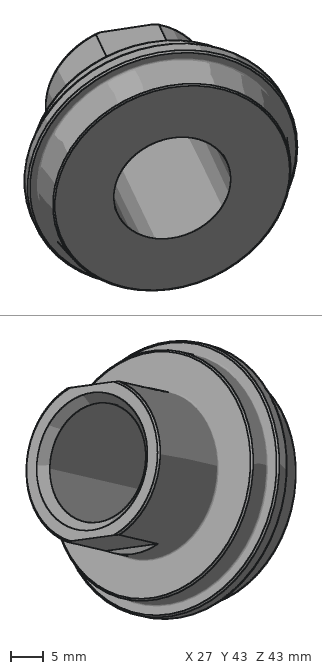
import cadquery as cq
import math

total_length = 27.0
neck_diameter = 26.0
neck_length = 15.0
shoulder_diameter = 39.0
collar_diameter = 43.0
collar_start = 19.0
collar_end = 21.5
cone_end_radius = 18.9
cone_angle = 10.0

bore_diameter = 18.6
bore_mouth_diameter = 21.5

flat_distance = 24.0
flat_length = 10.0
flat_runout_angle = 15.0

edge_chamfer = 0.3
cone_rim_chamfer = 0.2
root_fillet = 0.4

neck_radius = neck_diameter / 2
shoulder_radius = shoulder_diameter / 2
collar_radius = collar_diameter / 2
bore_radius = bore_diameter / 2
bore_mouth_radius = bore_mouth_diameter / 2


def turned_body():
    """Stepped neck, shoulder, collar and tapered rear, with softened edges."""
    cone_length = total_length - collar_end
    cone_start_radius = cone_end_radius + cone_length * math.tan(math.radians(cone_angle))
    body = (
        cq.Workplane("XY")
        .polyline([
            (0, 0),
            (0, neck_radius),
            (neck_length, neck_radius),
            (neck_length, shoulder_radius),
            (collar_start, shoulder_radius),
            (collar_start, collar_radius),
            (collar_end, collar_radius),
            (collar_end, cone_start_radius),
            (total_length, cone_end_radius),
            (total_length, 0),
        ])
        .close()
        .revolve(360, (0, 0, 0), (1, 0, 0))
    )

    def rim(x, radius):
        """Select the circular edge of the given radius at position x."""
        margin = 0.05
        reach = radius + margin
        around = cq.selectors.BoxSelector(
            (x - margin, -reach, -reach), (x + margin, reach, reach), boundingbox=True)
        inner = radius - margin
        within = cq.selectors.BoxSelector(
            (x - margin, -inner, -inner), (x + margin, inner, inner), boundingbox=True)
        return around - within

    roots = [
        (neck_length, neck_radius),
        (collar_start, shoulder_radius),
        (collar_end, cone_start_radius),
    ]
    for x, radius in roots:
        body = body.edges(rim(x, radius)).fillet(root_fillet)

    outer_edges = [
        (0, neck_radius, edge_chamfer),
        (neck_length, shoulder_radius, edge_chamfer),
        (collar_start, collar_radius, edge_chamfer),
        (collar_end, collar_radius, edge_chamfer),
        (total_length, cone_end_radius, cone_rim_chamfer),
    ]
    for x, radius, size in outer_edges:
        body = body.edges(rim(x, radius)).chamfer(size)
    return body


def bore_cutter():
    """Through bore with a conical mouth at the neck end."""
    mouth_depth = bore_mouth_radius - bore_radius
    return (
        cq.Workplane("XY")
        .polyline([
            (0, 0),
            (0, bore_mouth_radius),
            (mouth_depth, bore_radius),
            (total_length, bore_radius),
            (total_length, 0),
        ])
        .close()
        .revolve(360, (0, 0, 0), (1, 0, 0))
    )


def flat_cutter():
    """Material above the upper wrench flat, ending in a leaning wall."""
    flat_height = flat_distance / 2
    runout = (neck_radius - flat_height) * math.tan(math.radians(flat_runout_angle))
    return (
        cq.Workplane("XZ")
        .polyline([
            (0, flat_height),
            (flat_length, flat_height),
            (flat_length + runout, neck_radius),
            (0, neck_radius),
        ])
        .close()
        .extrude(neck_radius, both=True)
    )


upper_flat = flat_cutter()
lower_flat = upper_flat.mirror("XY")
result = turned_body().cut(bore_cutter()).cut(upper_flat).cut(lower_flat)